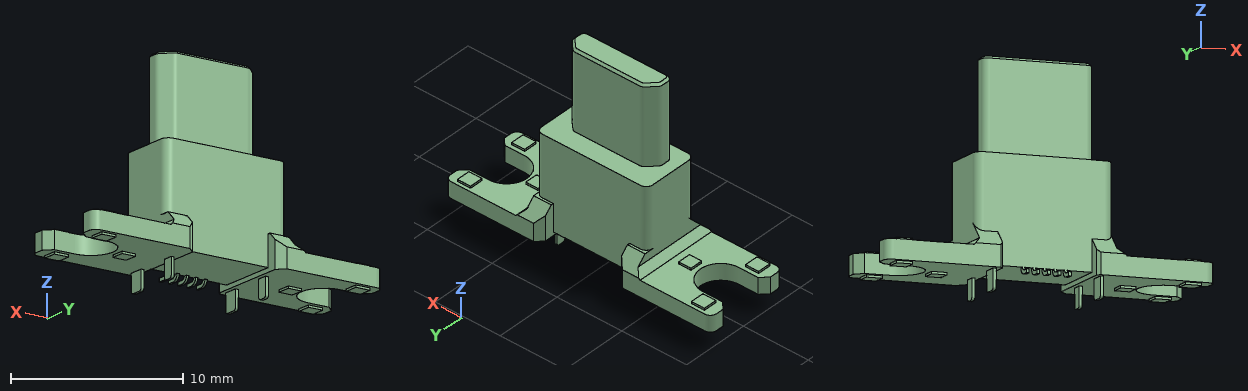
import cadquery as cq
import math


length = 20.55
overall_height = 14.15

plate_depth = 6.3
plate_thickness = 1.23
plate_corner_radius = 0.5
slot_width = 3.12
slot_end_x = 6.7
slot_mouth_chamfer = 0.51

pad_height = 0.15
outer_pad_size = 1.0
outer_pad_x = 9.02
outer_pad_y = 2.38
inner_pad_size = 0.95
inner_pad_x = 5.9

block_width = 8.6
block_front_y = -2.22
block_back_y = 1.97
block_bottom_z = 0.29
block_top_z = 6.95
block_corner_radius = 0.51

shoulder_inner_x = 2.94
shoulder_edge_z = 1.34
shoulder_back_top_z = 2.35
flare_size = 0.5
shoulder_back_chamfer = 0.5
shoulder_front_chamfer = 0.18

plug_width = 6.86
plug_front_y = -1.25
plug_back_y = 0.55
plug_top_z = 12.86
plug_back_chamfer = 0.78
plug_corner_radius = 0.41
plug_tip_chamfer = 0.16

leg_x = 3.35
leg_thickness = 0.2
leg_bottom_z = plug_top_z - overall_height
leg_tip_radius = 0.18
front_leg = (-2.26, 1.0)
back_leg = (0.92, 0.7)

pin_count = 5
pin_pitch = 0.65
pin_width = 0.16
pin_thickness = 0.25
pin_tip_y = -2.85
pin_bottom_z = -0.15
pin_inner_radius = 0.2

half_length = length / 2
half_depth = plate_depth / 2
block_side_x = block_width / 2
flare_outer_x = block_side_x + flare_size


def make_block():
    return (
        cq.Workplane("XY", origin=(0, (block_front_y + block_back_y) / 2, block_bottom_z))
        .rect(block_width, block_back_y - block_front_y)
        .extrude(block_top_z - block_bottom_z)
        .edges("|Z")
        .fillet(block_corner_radius)
    )


def make_plate():
    """Forked plate on the +X side."""
    plate = (
        cq.Workplane("XY")
        .moveTo(block_side_x, -half_depth)
        .lineTo(half_length, -half_depth)
        .lineTo(half_length, half_depth)
        .lineTo(block_side_x, half_depth)
        .close()
        .extrude(plate_thickness)
        .edges("|Z and >X")
        .fillet(plate_corner_radius)
    )
    slot_radius = slot_width / 2
    mouth_half_width = slot_radius + slot_mouth_chamfer
    slot = (
        cq.Workplane("XY")
        .moveTo(half_length, -mouth_half_width)
        .lineTo(half_length - slot_mouth_chamfer, -slot_radius)
        .lineTo(slot_end_x + slot_radius, -slot_radius)
        .threePointArc((slot_end_x, 0), (slot_end_x + slot_radius, slot_radius))
        .lineTo(half_length - slot_mouth_chamfer, slot_radius)
        .lineTo(half_length, mouth_half_width)
        .close()
        .extrude(plate_thickness)
    )
    return plate.cut(slot)


def make_pads():
    """Pads of the +X plate; each reaches through the plate and stands proud on both faces."""
    pad_base = cq.Workplane("XY", origin=(0, 0, -pad_height))
    pad_span = plate_thickness + 2 * pad_height
    outer_pads = (
        pad_base.pushPoints([(outer_pad_x, -outer_pad_y), (outer_pad_x, outer_pad_y)])
        .rect(outer_pad_size, outer_pad_size)
        .extrude(pad_span)
    )
    inner_pad = pad_base.center(inner_pad_x, 0).rect(inner_pad_size, inner_pad_size).extrude(pad_span)
    return outer_pads.union(inner_pad)


def make_shoulder():
    """Wedge on the +X side: 45 degree slopes in front, behind and on the outer side."""
    front_top_y = block_front_y + block_corner_radius
    front_top_z = shoulder_edge_z + front_top_y + half_depth
    back_top_y = half_depth - (shoulder_back_top_z - shoulder_edge_z)
    wedge = (
        cq.Workplane("YZ", origin=(shoulder_inner_x, 0, 0))
        .moveTo(-half_depth, 0)
        .lineTo(-half_depth, shoulder_edge_z)
        .lineTo(front_top_y, front_top_z)
        .lineTo(front_top_y, shoulder_back_top_z)
        .lineTo(back_top_y, shoulder_back_top_z)
        .lineTo(half_depth, shoulder_edge_z)
        .lineTo(half_depth, 0)
        .close()
        .extrude(flare_outer_x - shoulder_inner_x)
    )
    wedge = wedge.edges("|Z and <X").edges(">Y").chamfer(shoulder_back_chamfer)
    wedge = wedge.edges("|Z and <X").edges("<Y").chamfer(shoulder_front_chamfer)
    flare_profile = (
        cq.Workplane("XZ", origin=(0, half_depth, 0))
        .moveTo(shoulder_inner_x, 0)
        .lineTo(flare_outer_x, 0)
        .lineTo(flare_outer_x, plate_thickness)
        .lineTo(block_side_x, plate_thickness + flare_size)
        .lineTo(block_side_x, block_top_z)
        .lineTo(shoulder_inner_x, block_top_z)
        .close()
        .extrude(plate_depth)
    )
    return wedge.intersect(flare_profile)


def make_leg(center_y, size_y):
    """Flat leg below the +X shoulder, with rounded bottom corners."""
    return (
        cq.Workplane("XY", origin=(leg_x, center_y, leg_bottom_z))
        .rect(leg_thickness, size_y)
        .extrude(-leg_bottom_z)
        .edges("|X and <Z")
        .fillet(leg_tip_radius)
    )


def make_pin(center_x):
    """Contact that drops from the block underside and bends forward into a flat foot."""
    outer_radius = pin_inner_radius + pin_thickness
    foot_top_z = pin_bottom_z + pin_thickness
    bend_y = block_front_y - pin_inner_radius
    bend_z = foot_top_z + pin_inner_radius
    diagonal = math.sqrt(0.5)
    inner_mid = (bend_y + pin_inner_radius * diagonal, bend_z - pin_inner_radius * diagonal)
    outer_mid = (bend_y + outer_radius * diagonal, bend_z - outer_radius * diagonal)
    return (
        cq.Workplane("YZ", origin=(center_x - pin_width / 2, 0, 0))
        .moveTo(pin_tip_y, pin_bottom_z)
        .lineTo(pin_tip_y, foot_top_z)
        .lineTo(bend_y, foot_top_z)
        .threePointArc(inner_mid, (bend_y + pin_inner_radius, bend_z))
        .lineTo(bend_y + outer_radius, bend_z)
        .threePointArc(outer_mid, (bend_y, pin_bottom_z))
        .close()
        .extrude(pin_width)
    )


def make_housing():
    side = make_plate().union(make_pads()).union(make_shoulder())
    for center_y, size_y in (front_leg, back_leg):
        side = side.union(make_leg(center_y, size_y))
    body = make_block().union(side).union(side.mirror("YZ"))
    for index in range(pin_count):
        body = body.union(make_pin((index - (pin_count - 1) / 2) * pin_pitch))
    return body


def make_plug():
    """Blade standing on the block, with chamfered rear corners and all corners rounded."""
    half_width = plug_width / 2
    return (
        cq.Workplane("XY", origin=(0, 0, block_top_z))
        .moveTo(-half_width, plug_front_y)
        .lineTo(half_width, plug_front_y)
        .lineTo(half_width, plug_back_y - plug_back_chamfer)
        .lineTo(half_width - plug_back_chamfer, plug_back_y)
        .lineTo(plug_back_chamfer - half_width, plug_back_y)
        .lineTo(-half_width, plug_back_y - plug_back_chamfer)
        .close()
        .extrude(plug_top_z - block_top_z)
        .edges("|Z")
        .fillet(plug_corner_radius)
        .faces(">Z")
        .chamfer(plug_tip_chamfer)
    )


housing = make_housing()
plug = make_plug()

result = cq.Compound.makeCompound([*housing.solids().vals(), *plug.solids().vals()])